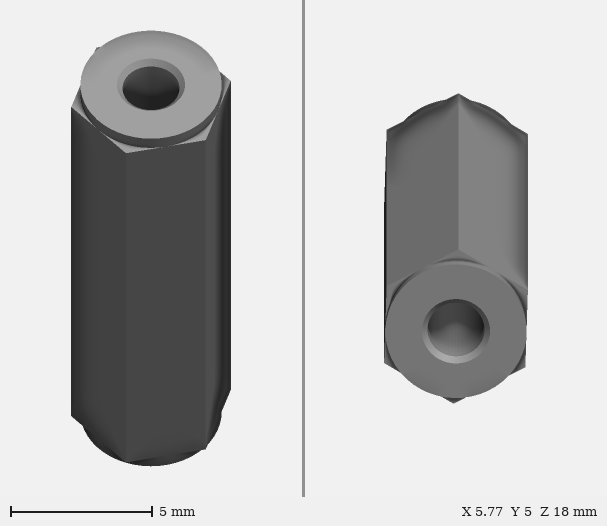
import cadquery as cq
import math

length = 18.0
across_flats = 5.0
collar_height = 0.5
hole_diameter = 2.02
hole_mouth_diameter = 2.41
hole_depth = 6.0

across_corners = across_flats / math.cos(math.pi / 6)
hex_length = length - 2 * collar_height
countersink_depth = (hole_mouth_diameter - hole_diameter) / 2


def end_hole():
    """Blind countersunk hole entering from the top end."""
    hole_radius = hole_diameter / 2
    top = length / 2
    profile = (
        cq.Workplane("XZ")
        .moveTo(0, top)
        .lineTo(hole_mouth_diameter / 2, top)
        .lineTo(hole_radius, top - countersink_depth)
        .lineTo(hole_radius, top - hole_depth)
        .lineTo(0, top - hole_depth)
        .close()
    )
    return profile.revolve(360, (0, 0, 0), (0, 1, 0))


hex_body = (
    cq.Workplane("XY")
    .workplane(offset=-hex_length / 2)
    .polygon(6, across_corners)
    .extrude(hex_length)
)

collars = cq.Workplane("XY").circle(across_flats / 2).extrude(length / 2, both=True)

top_hole = end_hole()
bottom_hole = top_hole.mirror("XY")
result = hex_body.union(collars).cut(top_hole).cut(bottom_hole)